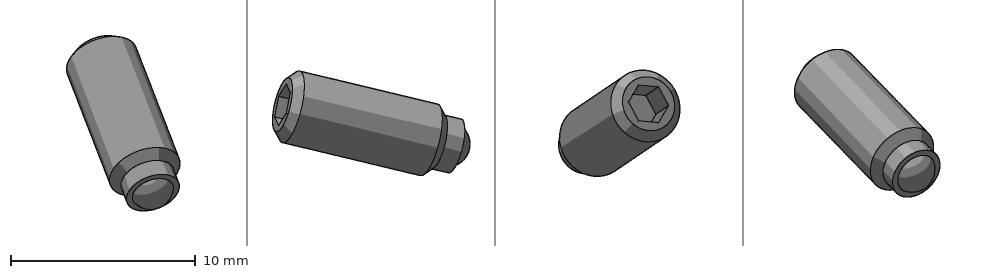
import cadquery as cq
import math

total_length = 10.8
body_diameter = 4.0
nose_diameter = 3.0
ball_diameter = 2.5
body_length = 9.0
nose_length = 1.0
socket_across_flats = 2.0
socket_depth = 2.0

body_radius = body_diameter / 2
nose_radius = nose_diameter / 2
ball_radius = ball_diameter / 2
chamfer = body_radius - nose_radius
nose_end = body_length + nose_length
ball_center = total_length - ball_radius


def make_plunger():
    """Chamfered body, reduced nose and projecting ball, turned as one profile about X."""
    ball_edge_radius = math.sqrt(ball_radius**2 - (nose_end - ball_center) ** 2)
    diagonal = ball_radius * math.sqrt(0.5)
    profile = (
        cq.Workplane("XY")
        .lineTo(0, body_radius - chamfer)
        .lineTo(chamfer, body_radius)
        .lineTo(body_length - chamfer, body_radius)
        .lineTo(body_length, nose_radius)
        .lineTo(nose_end, nose_radius)
        .lineTo(nose_end, ball_edge_radius)
        .threePointArc((ball_center + diagonal, diagonal), (total_length, 0))
        .close()
    )
    return profile.revolve(360, (0, 0, 0), (1, 0, 0))


def make_socket():
    """Hex drive socket with flats facing up and down."""
    across_corners = socket_across_flats / math.cos(math.pi / 6)
    return cq.Workplane("YZ").polygon(6, across_corners).extrude(socket_depth)


result = make_plunger().cut(make_socket())